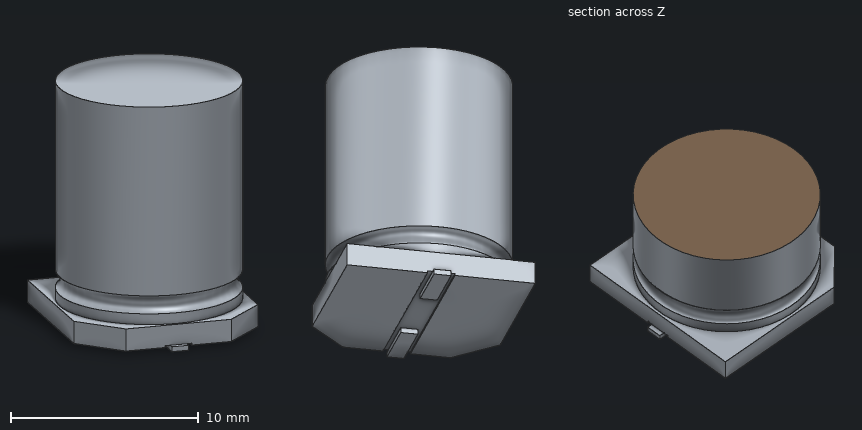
import cadquery as cq

total_height = 13.5
base_side = 10.3
base_bottom = 0.18
base_top = 1.42
corner_cut = 2.2

can_radius = 5.0
groove_depth = 0.25
groove_bottom = 2.01
groove_top = 3.01

lead_span = 10.9
lead_length = 3.21
lead_width = 0.93
lead_thickness = 0.28
channel_width = 1.5


def make_base():
    """Square base with the two +X corners cut off and a channel along X underneath."""
    base = (
        cq.Workplane("XY", origin=(0, 0, base_bottom))
        .rect(base_side, base_side)
        .extrude(base_top - base_bottom)
        .edges("|Z and >X")
        .chamfer(corner_cut)
    )
    channel = cq.Workplane("XY").rect(base_side, channel_width).extrude(lead_thickness)
    return base.cut(channel)


def make_can():
    """Can revolved about Z, with an arc-shaped groove running around it."""
    groove_middle = (groove_bottom + groove_top) / 2
    return (
        cq.Workplane("XZ")
        .moveTo(0, base_top)
        .lineTo(can_radius, base_top)
        .lineTo(can_radius, groove_bottom)
        .threePointArc((can_radius - groove_depth, groove_middle), (can_radius, groove_top))
        .lineTo(can_radius, total_height)
        .lineTo(0, total_height)
        .close()
        .revolve(360, (0, 0), (0, 1))
    )


def make_lead(side):
    """Flat lead on the -X or +X side, touching the roof of the channel."""
    center_x = side * (lead_span - lead_length) / 2
    return (
        cq.Workplane("XY")
        .center(center_x, 0)
        .rect(lead_length, lead_width)
        .extrude(lead_thickness)
    )


result = make_base().union(make_can())
for side in (-1, 1):
    result = result.union(make_lead(side))